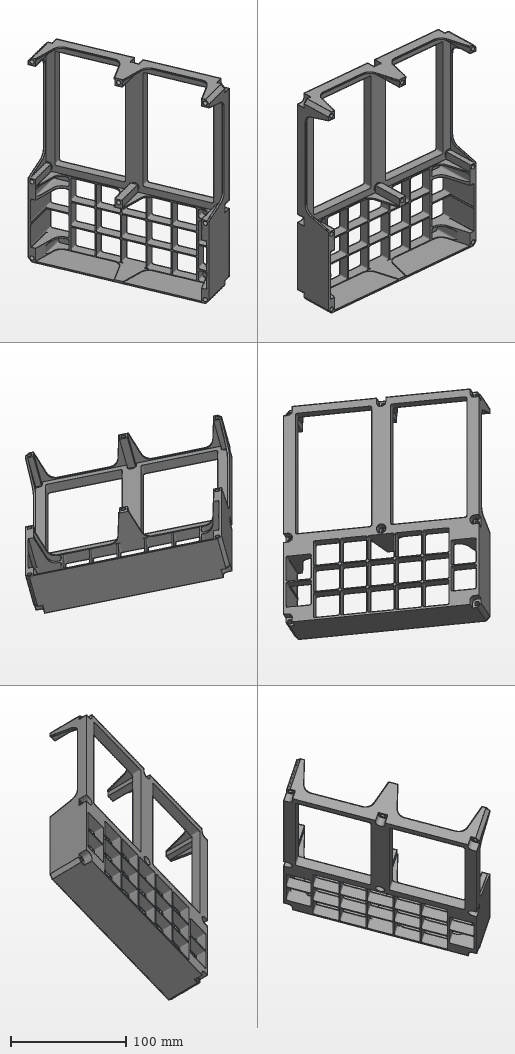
import cadquery as cq
import math

WIDTH = 175.2
DEPTH = 39.8
HEIGHT = 203.2
HALF_WIDTH = WIDTH / 2
CORNER_CHAMFER_X = 3.5
CORNER_CHAMFER_Z = 3.9

RIM_DEPTH = 10.0
SCREEN_PLATE_DEPTH = 9.1
SIDE_WALL = 1.93
END_WALL = 1.5
SHELF_BOTTOM = 74.4
SHELF_TOP = 75.8

HOLE_DIA = 4.0
HEAD_DIA = 8.3
HEAD_DEPTH = 8.3
SCREW_INSET_X = 3.7
SCREW_INSET_Z = 3.9
MIDDLE_SCREW_Z = 79.9
POST_WIDTH = 7.1
POST_HEIGHT = 7.5
MIDDLE_POST_TOP = 83.3
POST_INNER_X = HALF_WIDTH - POST_WIDTH

ARCH_DRAFT = 15.0
ARCH_RADIUS = 9.1
MIDDLE_LEG_HALF = 4.3
SIDE_ARCH_BOTTOM = 83.0

WINDOW_WIDTH = 68.3
WINDOW_X = 42.7
WINDOW_BOTTOM = 82.7
WINDOW_TOP = 196.3
WINDOW_RADIUS = 1.8

KEY_SIZE = 23.4
KEY_RADIUS = 1.5
KEY_PITCH = 24.5
KEY_CENTER_Z = 38.5
KEY_COLUMNS = 5
KEY_ROWS = 3
SIDE_KEY_INNER_X = 62.8
SIDE_KEY_OUTER_X = 85.1
SIDE_KEY_WALL = 2.8
SIDE_KEYS_BOTTOM = KEY_CENTER_Z - KEY_PITCH / 2 - KEY_SIZE / 2
SIDE_KEYS_TOP = KEY_CENTER_Z + KEY_PITCH / 2 + KEY_SIZE / 2
LEDGE_TOP = KEY_CENTER_Z - KEY_PITCH - KEY_SIZE / 2

POCKET_FLOOR = 1.6
POCKET_RADIUS = 2.0
UPPER_POCKET_BOTTOM = 65.0
LOWER_POCKET_RIB = 1.6
LOWER_POCKET_TOP = SIDE_KEYS_BOTTOM - LOWER_POCKET_RIB
LOWER_POCKET_OUTER_X = 77.0


def box(x0, x1, z0, z1, depth=DEPTH, back=0.0):
    """Block between two X and two Z values, from `back` to `depth` in front of the back face."""
    return cq.Workplane("XY").box(x1 - x0, depth - back, z1 - z0, centered=False).translate((x0, -depth, z0))


def rounded_box(x0, x1, z0, z1, radius, depth=DEPTH, back=0.0):
    return box(x0, x1, z0, z1, depth, back).edges("|Y").fillet(radius)


def arch_cutter(plane, start, end, length):
    """Arch open to the front: drafted sides, rounded where they meet the rim depth.

    `start` and `end` are X values on the "XY" plane and Z values on the "YZ" plane.
    """
    run = (DEPTH - RIM_DEPTH) * math.tan(math.radians(ARCH_DRAFT))
    outline = [(start, -DEPTH), (end, -DEPTH), (end - run, -RIM_DEPTH), (start + run, -RIM_DEPTH)]
    if plane == "YZ":
        outline = [(y, z) for z, y in outline]
    cutter = cq.Workplane(plane).polyline(outline).close().extrude(length)
    edges = "|Z and >Y" if plane == "XY" else "|X and >Y"
    return cutter.edges(edges).fillet(ARCH_RADIUS)


def rim_plate():
    recess = box(SIDE_WALL - HALF_WIDTH, HALF_WIDTH - SIDE_WALL, SHELF_TOP, HEIGHT - END_WALL,
                 RIM_DEPTH, SCREEN_PLATE_DEPTH)
    return box(-HALF_WIDTH, HALF_WIDTH, 0, HEIGHT, RIM_DEPTH).cut(recess)


def cross_walls():
    """Top wall, shelf, bottom ledge and the blocks beside the keys, all shaped by the arches."""
    walls = box(-HALF_WIDTH, HALF_WIDTH, HEIGHT - END_WALL, HEIGHT)
    walls = walls.union(box(-HALF_WIDTH, HALF_WIDTH, SHELF_BOTTOM, SHELF_TOP))
    walls = walls.union(box(-HALF_WIDTH, HALF_WIDTH, 0, LEDGE_TOP))
    for x0, x1 in ((-HALF_WIDTH, -SIDE_KEY_INNER_X), (SIDE_KEY_INNER_X, HALF_WIDTH)):
        walls = walls.union(box(x0, x1, 0, SIDE_KEYS_BOTTOM))
        walls = walls.union(box(x0, x1, SIDE_KEYS_TOP, SHELF_TOP))
    for start, end in ((-POST_INNER_X, -MIDDLE_LEG_HALF), (MIDDLE_LEG_HALF, POST_INNER_X)):
        walls = walls.cut(arch_cutter("XY", start, end, HEIGHT).translate((0, 0, END_WALL)))
    return walls


def side_arch():
    return arch_cutter("YZ", SIDE_ARCH_BOTTOM, HEIGHT - POST_HEIGHT, WIDTH).translate((-HALF_WIDTH, 0, 0))


def side_walls():
    walls = cq.Workplane("XY")
    for side in (-1, 1):
        for thickness, top in ((SIDE_WALL, HEIGHT), (SIDE_KEY_WALL, SIDE_KEYS_TOP)):
            inner, outer = sorted((side * (HALF_WIDTH - thickness), side * HALF_WIDTH))
            walls = walls.union(box(inner, outer, 0, top))
    return walls


def posts():
    """Square posts around the screws; the lower outer ones run down to the side keys."""
    half = POST_WIDTH / 2
    blocks = cq.Workplane("XY")
    spans = (
        (-HALF_WIDTH, -POST_INNER_X, SIDE_KEYS_TOP),
        (-half, half, SHELF_BOTTOM),
        (POST_INNER_X, HALF_WIDTH, SIDE_KEYS_TOP),
    )
    for x0, x1, lower_end in spans:
        blocks = blocks.union(box(x0, x1, HEIGHT - POST_HEIGHT, HEIGHT))
        blocks = blocks.union(box(x0, x1, lower_end, MIDDLE_POST_TOP))
    return blocks


def screen_windows():
    cutters = cq.Workplane("XY")
    for x in (-WINDOW_X, WINDOW_X):
        cutters = cutters.union(
            rounded_box(x - WINDOW_WIDTH / 2, x + WINDOW_WIDTH / 2, WINDOW_BOTTOM, WINDOW_TOP, WINDOW_RADIUS)
        )
    return cutters


def key_openings():
    places = [
        (KEY_PITCH * (column - (KEY_COLUMNS - 1) / 2), KEY_CENTER_Z + KEY_PITCH * (row - (KEY_ROWS - 1) / 2))
        for column in range(KEY_COLUMNS)
        for row in range(KEY_ROWS)
    ]
    cutters = cq.Workplane("XY")
    half = KEY_SIZE / 2
    for x, z in places:
        top = min(z + half, SHELF_BOTTOM)
        cutters = cutters.union(rounded_box(x - half, x + half, z - half, top, KEY_RADIUS))
    for z in (KEY_CENTER_Z - KEY_PITCH / 2, KEY_CENTER_Z + KEY_PITCH / 2):
        right = rounded_box(SIDE_KEY_INNER_X, SIDE_KEY_OUTER_X, z - half, z + half, KEY_RADIUS)
        cutters = cutters.union(right).union(right.mirror("YZ"))
    return cutters


def pockets():
    upper = rounded_box(SIDE_KEY_INNER_X, POST_INNER_X, UPPER_POCKET_BOTTOM, SHELF_BOTTOM,
                        POCKET_RADIUS, DEPTH, POCKET_FLOOR)
    lower = rounded_box(SIDE_KEY_INNER_X, LOWER_POCKET_OUTER_X, LEDGE_TOP, LOWER_POCKET_TOP,
                        POCKET_RADIUS, DEPTH, POCKET_FLOOR)
    right = upper.union(lower)
    return right.union(right.mirror("YZ"))


def screw_holes():
    """Through holes whose head recesses run out through the nearby outer faces as slots."""
    screw_x = HALF_WIDTH - SCREW_INSET_X
    top_z = HEIGHT - SCREW_INSET_Z
    places = [(x, z) for x in (-screw_x, 0, screw_x) for z in (MIDDLE_SCREW_Z, top_z)]
    places += [(-screw_x, SCREW_INSET_Z), (screw_x, SCREW_INSET_Z)]
    back = cq.Workplane("XZ").pushPoints(places)
    cutters = back.circle(HOLE_DIA / 2).extrude(DEPTH)
    cutters = cutters.union(back.circle(HEAD_DIA / 2).extrude(HEAD_DEPTH))
    radius = HEAD_DIA / 2
    for x, z in places:
        if x != 0:
            inner, outer = sorted((x, math.copysign(HALF_WIDTH, x)))
            cutters = cutters.union(box(inner, outer, z - radius, z + radius, HEAD_DEPTH))
        if z != MIDDLE_SCREW_Z:
            low, high = (z, HEIGHT) if z == top_z else (0, z)
            cutters = cutters.union(box(x - radius, x + radius, low, high, HEAD_DEPTH))
    return cutters


def chamfered_envelope():
    right, top = HALF_WIDTH, HEIGHT
    dx, dz = CORNER_CHAMFER_X, CORNER_CHAMFER_Z
    outline = [
        (dx - right, 0), (right - dx, 0), (right, dz), (right, top - dz),
        (right - dx, top), (dx - right, top), (-right, top - dz), (-right, dz),
    ]
    return cq.Workplane("XZ").polyline(outline).close().extrude(DEPTH)


result = rim_plate().union(cross_walls()).union(side_walls())
result = result.cut(screen_windows()).cut(key_openings()).cut(pockets()).union(posts())
result = result.cut(side_arch()).cut(screw_holes()).intersect(chamfered_envelope())